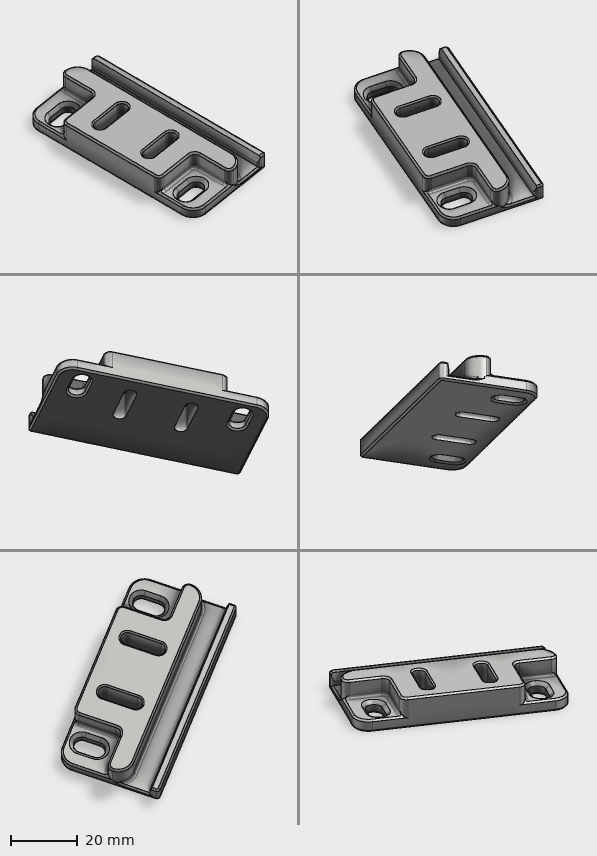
import cadquery as cq

LENGTH = 66.8
WIDTH = 32.85
HEIGHT = 10.0
HALF_LENGTH = LENGTH / 2
FRONT = -WIDTH / 2
BACK = WIDTH / 2

FRONT_RADIUS = 5.0
BACK_RADIUS = 1.0
EDGE_CHAMFER = 0.6
FOOT_RADIUS = 1.0

BLOCK_BACK = FRONT + 23.0
WING_BACK_RADIUS = 5.0
WING_FRONT_RADIUS = 2.0
WING_TIP = BLOCK_BACK - WING_BACK_RADIUS
WING_FRONT = WING_TIP - WING_FRONT_RADIUS
STEM_RADIUS = 2.0
STEM_HALF = HALF_LENGTH - 13.95

CHANNEL_FLOOR = 2.0
POCKET_FLOOR = 4.0
LIP_HEIGHT = 6.0
LIP_THICKNESS = 3.15
LIP_TOP_THICKNESS = 2.35
LIP_SLOPE_START = 3.5
LIP_FRONT = BACK - LIP_THICKNESS

CENTRE_SLOT_X = 9.7
CENTRE_SLOT_Y = FRONT + 11.55
CENTRE_SLOT_WIDTH = 4.0
CENTRE_SLOT_LENGTH = 14.0
CENTRE_SLOT_CHAMFER = 0.5
MOUNT_SLOT_X = 25.4
MOUNT_SLOT_Y = FRONT + 7.55
MOUNT_SLOT_WIDTH = 5.15
MOUNT_SLOT_LENGTH = 10.0
MOUNT_SLOT_CHAMFER = 1.2

OVERCUT = 6.7

PICK_MARGIN = 0.7


def box_between(low, high):
    """Axis-aligned box between two opposite corners."""
    size = [b - a for a, b in zip(low, high)]
    return cq.Workplane("XY").box(*size, centered=False).translate(low)


def plate(height):
    """Slab with the part's outline."""
    slab = cq.Workplane("XY").rect(LENGTH, WIDTH).extrude(height)
    slab = slab.edges("|Z and <Y").fillet(FRONT_RADIUS)
    return slab.edges("|Z and >Y").fillet(BACK_RADIUS)


def mirrored(solid):
    """The body together with its copy at the other end of the part."""
    return solid.union(solid.mirror("YZ"))


def round_foot(space, floor, low, high):
    """Round the floor edges of a cutting body inside an XY window, where it meets the block wall."""
    window = cq.selectors.BoxSelector((*low, floor - PICK_MARGIN), (*high, floor + PICK_MARGIN))
    return space.faces("<Z").edges(window).fillet(FOOT_RADIUS)


def channel_space():
    """Open space behind the block; it ends in straight tails beside the wing tips."""
    outer = HALF_LENGTH + OVERCUT
    tail = WING_TIP - OVERCUT
    arc_x = HALF_LENGTH - WING_BACK_RADIUS
    space = (
        cq.Workplane("XY", origin=(0, 0, CHANNEL_FLOOR))
        .moveTo(-outer, tail)
        .lineTo(-HALF_LENGTH, tail)
        .lineTo(-HALF_LENGTH, WING_TIP)
        .tangentArcPoint((-arc_x, BLOCK_BACK), relative=False)
        .lineTo(arc_x, BLOCK_BACK)
        .tangentArcPoint((HALF_LENGTH, WING_TIP), relative=False)
        .lineTo(HALF_LENGTH, tail)
        .lineTo(outer, tail)
        .lineTo(outer, BACK + OVERCUT)
        .lineTo(-outer, BACK + OVERCUT)
        .close()
        .extrude(HEIGHT)
    )
    low = (-HALF_LENGTH - PICK_MARGIN, tail + PICK_MARGIN)
    high = (HALF_LENGTH + PICK_MARGIN, BLOCK_BACK + PICK_MARGIN)
    return round_foot(space, CHANNEL_FLOOR, low, high)


def pocket_space():
    """Open space in front of the left wing; its wall runs on tangentially past the plate edges."""
    outer = -HALF_LENGTH - OVERCUT
    side_end = WING_TIP + OVERCUT
    front_end = -STEM_HALF + STEM_RADIUS + OVERCUT
    space = (
        cq.Workplane("XY", origin=(0, 0, POCKET_FLOOR))
        .moveTo(outer, side_end)
        .lineTo(-HALF_LENGTH, side_end)
        .lineTo(-HALF_LENGTH, WING_TIP)
        .tangentArcPoint((-HALF_LENGTH + WING_FRONT_RADIUS, WING_FRONT), relative=False)
        .lineTo(-STEM_HALF - STEM_RADIUS, WING_FRONT)
        .tangentArcPoint((-STEM_HALF, WING_FRONT - STEM_RADIUS), relative=False)
        .lineTo(-STEM_HALF, FRONT + STEM_RADIUS)
        .tangentArcPoint((-STEM_HALF + STEM_RADIUS, FRONT), relative=False)
        .lineTo(front_end, FRONT)
        .lineTo(front_end, FRONT - OVERCUT)
        .lineTo(outer, FRONT - OVERCUT)
        .close()
        .extrude(HEIGHT)
    )
    low = (-HALF_LENGTH - PICK_MARGIN, FRONT - PICK_MARGIN)
    high = (front_end - PICK_MARGIN, side_end - PICK_MARGIN)
    return round_foot(space, POCKET_FLOOR, low, high)


def block():
    """Raised block standing on the underside plane, chamfered around its top."""
    arc_x = HALF_LENGTH - WING_BACK_RADIUS
    solid = (
        cq.Workplane("XY")
        .moveTo(-arc_x, BLOCK_BACK)
        .lineTo(arc_x, BLOCK_BACK)
        .tangentArcPoint((HALF_LENGTH, WING_TIP), relative=False)
        .tangentArcPoint((HALF_LENGTH - WING_FRONT_RADIUS, WING_FRONT), relative=False)
        .lineTo(STEM_HALF + STEM_RADIUS, WING_FRONT)
        .tangentArcPoint((STEM_HALF, WING_FRONT - STEM_RADIUS), relative=False)
        .lineTo(STEM_HALF, FRONT + STEM_RADIUS)
        .tangentArcPoint((STEM_HALF - STEM_RADIUS, FRONT), relative=False)
        .lineTo(-STEM_HALF + STEM_RADIUS, FRONT)
        .tangentArcPoint((-STEM_HALF, FRONT + STEM_RADIUS), relative=False)
        .lineTo(-STEM_HALF, WING_FRONT - STEM_RADIUS)
        .tangentArcPoint((-STEM_HALF - STEM_RADIUS, WING_FRONT), relative=False)
        .lineTo(-HALF_LENGTH + WING_FRONT_RADIUS, WING_FRONT)
        .tangentArcPoint((-HALF_LENGTH, WING_TIP), relative=False)
        .tangentArcPoint((-arc_x, BLOCK_BACK), relative=False)
        .close()
        .extrude(HEIGHT)
    )
    return solid.faces(">Z").chamfer(EDGE_CHAMFER)


def front_base():
    """Base in front of the wing tips, with a pocket at each corner.

    The 45 degree edge at the pocket floor continues upward and trims the rounded foot.
    """
    height = POCKET_FLOOR + FOOT_RADIUS
    base = box_between((-HALF_LENGTH, FRONT, 0), (HALF_LENGTH, WING_TIP, height))
    base = base.edges("|Z and <Y").fillet(FRONT_RADIUS)
    base = base.faces(">Z").edges("not >Y").chamfer(FOOT_RADIUS + EDGE_CHAMFER)
    return base.cut(mirrored(pocket_space()))


def rear_edge_cut(space):
    """Chamfer cut along the left rim of the channel, dying out where the foot reaches the wing tip."""
    outside = box_between(
        (-HALF_LENGTH - OVERCUT, WING_TIP, 0), (-HALF_LENGTH, LIP_FRONT + BACK_RADIUS, HEIGHT)
    )
    section = space.intersect(outside).faces(">X").val()
    lowered = section.translate(cq.Vector(0, EDGE_CHAMFER, -EDGE_CHAMFER))
    slope = cq.Vector(EDGE_CHAMFER, 0, EDGE_CHAMFER)
    return cq.Workplane(cq.Solid.extrudeLinear(lowered.outerWire(), [], slope))


def rear_base():
    """Base behind the wing tips: the channel floor with its rounded foot along the block."""
    window = box_between((-HALF_LENGTH, WING_TIP, 0), (HALF_LENGTH, BACK, CHANNEL_FLOOR + FOOT_RADIUS))
    space = channel_space()
    return plate(HEIGHT).intersect(window).cut(space).cut(mirrored(rear_edge_cut(space)))


def lip():
    """Upright lip along the back, with rounded ends and a sloped upper front face."""
    bar = box_between((-HALF_LENGTH, LIP_FRONT, 0), (HALF_LENGTH, BACK, LIP_HEIGHT))
    bar = bar.edges("|Z").fillet(BACK_RADIUS)
    bar = bar.intersect(plate(LIP_HEIGHT).faces(">Z").chamfer(EDGE_CHAMFER))
    slope = (
        cq.Workplane("YZ")
        .moveTo(LIP_FRONT, LIP_SLOPE_START)
        .lineTo(BACK - LIP_TOP_THICKNESS, LIP_HEIGHT)
        .lineTo(LIP_FRONT, LIP_HEIGHT)
        .close()
        .extrude(HALF_LENGTH, both=True)
    )
    return bar.cut(slope)


def slots(places, width, length, chamfer, top):
    """Through slots along Y, widened by a chamfer at the given top level."""
    straight = cq.Workplane("XY").pushPoints(places).slot2D(length, width, 90).extrude(top)
    return straight.union(slot_flare(places, width, length, chamfer, top, -chamfer))


def slot_flare(places, width, length, chamfer, level, depth):
    """Chamfers around slot mouths at a level, narrowing over a signed depth."""
    return (
        cq.Workplane("XY", origin=(0, 0, level))
        .pushPoints(places)
        .slot2D(length + 2 * chamfer, width + 2 * chamfer, 90)
        .extrude(depth, taper=45)
    )


def centre_slots():
    """Narrow slots through the full height of the block."""
    places = [(-CENTRE_SLOT_X, CENTRE_SLOT_Y), (CENTRE_SLOT_X, CENTRE_SLOT_Y)]
    return slots(places, CENTRE_SLOT_WIDTH, CENTRE_SLOT_LENGTH, CENTRE_SLOT_CHAMFER, HEIGHT)


def mount_slots():
    """Countersunk mounting slots through the pocket floors, with chamfered lower mouths."""
    places = [(-MOUNT_SLOT_X, MOUNT_SLOT_Y), (MOUNT_SLOT_X, MOUNT_SLOT_Y)]
    through = slots(places, MOUNT_SLOT_WIDTH, MOUNT_SLOT_LENGTH, MOUNT_SLOT_CHAMFER, POCKET_FLOOR)
    lower = slot_flare(
        places, MOUNT_SLOT_WIDTH, MOUNT_SLOT_LENGTH, EDGE_CHAMFER, 0, EDGE_CHAMFER
    )
    return through.union(lower)


body = front_base().union(rear_base()).union(block()).union(lip())
body = body.intersect(plate(HEIGHT).faces("<Z").chamfer(EDGE_CHAMFER))
body = body.cut(centre_slots())

result = body.cut(mount_slots())